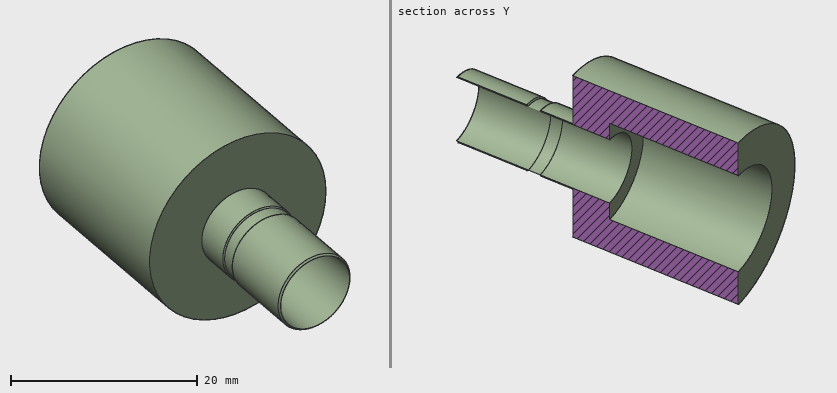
import cadquery as cq

total_length = 35.7
body_length = 21.0
body_diameter = 23.0
shank_diameter = 9.4

socket_diameter = 13.6
through_diameter = 8.95
socket_floor_thickness = (body_diameter - socket_diameter) / 2
socket_depth = body_length - socket_floor_thickness

groove_start = 25.0
groove_width = 1.8
groove_diameter = 9.1

end_bevel = 0.2

body_radius = body_diameter / 2
shank_radius = shank_diameter / 2
groove_radius = groove_diameter / 2
groove_end = groove_start + groove_width
groove_side_length = shank_radius - groove_radius


def bore(length, diameter):
    """Cylinder to remove along the X axis, starting at the open face of the body."""
    return cq.Workplane("YZ").circle(diameter / 2).extrude(length)


outer_profile = [
    (0, 0),
    (0, body_radius),
    (body_length, body_radius),
    (body_length, shank_radius),
    (groove_start, shank_radius),
    (groove_start + groove_side_length, groove_radius),
    (groove_end - groove_side_length, groove_radius),
    (groove_end, shank_radius),
    (total_length - end_bevel, shank_radius),
    (total_length, shank_radius - end_bevel),
    (total_length, 0),
]
outside = cq.Workplane("XY").polyline(outer_profile).close().revolve(360, (0, 0, 0), (1, 0, 0))

socket = bore(socket_depth, socket_diameter)
through_hole = bore(total_length, through_diameter)

result = outside.cut(socket).cut(through_hole)